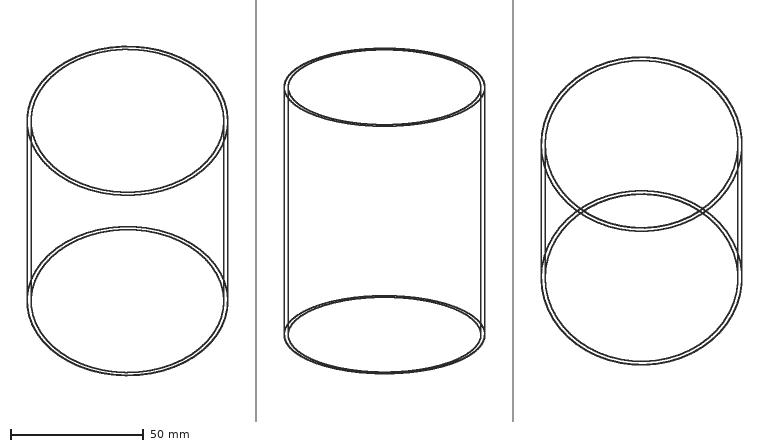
import cadquery as cq

length = 101.6
outer_diameter = 76.0
wall_thickness = 1.5

outer_radius = outer_diameter / 2
inner_radius = outer_radius - wall_thickness

result = (
    cq.Workplane("XY")
    .circle(outer_radius)
    .circle(inner_radius)
    .extrude(length)
)